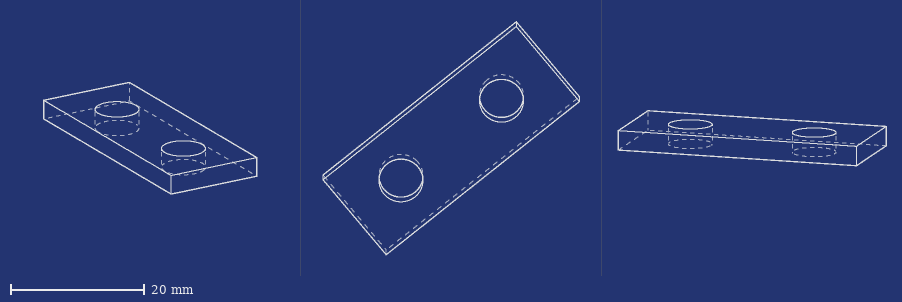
import cadquery as cq

length = 37.5
width = 15.0
thickness = 3.0

hole_diameter = 6.6
hole_end_distance = 9.0
hole_spacing = length - 2 * hole_end_distance


def make_plate():
    """Flat rectangular plate, centred on the origin in X and Y, resting on Z = 0."""
    return cq.Workplane("XY").box(length, width, thickness, centered=(True, True, False))


def drill_holes(plate):
    """Drill the pair of holes, placed symmetrically about the plate centre."""
    return (
        plate.faces(">Z")
        .workplane()
        .pushPoints([(side * hole_spacing / 2, 0) for side in (-1, 1)])
        .hole(hole_diameter)
    )


result = drill_holes(make_plate())